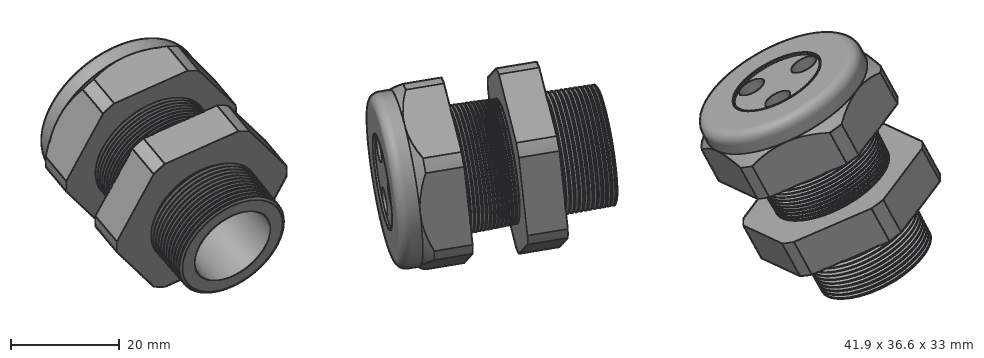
import cadquery as cq
import math

overall_length = 41.9

across_flats = 33.03
corner_radius = 18.3
flat_radius = across_flats / 2
hex_corner_diameter = across_flats / math.cos(math.pi / 6)

cap_collar_end = 4.2
cap_end = 13.2
body_hex_start = 23.45
body_hex_end = 31.05
dome_fillet = 2.05

flank_slope = 1 / math.tan(math.pi / 6)
cap_thread_grooves = 13
cap_thread_root_radius = 11.35
cap_thread_start_radius = 12.0
cap_thread_end_radius = 11.7
entry_thread_start = 31.9
entry_thread_grooves = 11
entry_thread_root_radius = 10.75
entry_thread_start_radius = 11.45
entry_thread_end_radius = 11.27

neck_radius = 10.6
run_out_length = entry_thread_start - body_hex_end

insert_radius = 9.05
dish_radius = 8.75
dish_depth = 0.4
insert_end = cap_end
bore_taper_end = body_hex_start
bore_radius = 8.15
cable_hole_count = 3
cable_hole_radius = 2.55
cable_hole_circle_radius = 6.15


def cylinder(start, end, radius):
    return cq.Workplane("YZ", origin=(start, 0, 0)).circle(radius).extrude(end - start)


def revolve_about_axis(profile):
    return profile.close().revolve(360, (0, 0, 0), (1, 0, 0))


def hexagon(start, end):
    """Hexagonal prism with flats at top and bottom and rounded-off corners."""
    prism = cq.Workplane("YZ", origin=(start, 0, 0)).polygon(6, hex_corner_diameter).extrude(end - start)
    return prism.intersect(cylinder(start, end, corner_radius))


def make_cap():
    """Round collar with a rounded front edge, widening at 45 degrees into a hexagon."""
    cone_end = cap_collar_end + corner_radius - flat_radius
    envelope = revolve_about_axis(
        cq.Workplane("XY")
        .moveTo(cap_collar_end, 0)
        .lineTo(cap_collar_end, flat_radius)
        .lineTo(cone_end, corner_radius)
        .lineTo(cap_end, corner_radius)
        .lineTo(cap_end, 0)
    )
    collar = cylinder(0, cap_collar_end, flat_radius).faces("<X").edges().fillet(dome_fillet)
    return collar.union(hexagon(cap_collar_end, cap_end).intersect(envelope))


def make_thread(start, end, grooves, root_radius, start_radius, end_radius):
    """Slightly tapered rod with equally spaced V grooves, from a crest at its start to a root at its end."""
    pitch = (end - start) / (grooves + 0.5)
    taper = (start_radius - end_radius) / (end - start)
    profile = cq.Workplane("XY").moveTo(start, 0).lineTo(start, start_radius)
    for index in range(grooves + 1):
        root = start + (index + 0.5) * pitch
        depth = start_radius - taper * (root - start) - root_radius
        front_reach = depth / (flank_slope - taper)
        rear_reach = depth / (flank_slope + taper)
        profile = profile.lineTo(root - front_reach, root_radius + flank_slope * front_reach)
        profile = profile.lineTo(root, root_radius)
        if index < grooves:
            profile = profile.lineTo(root + rear_reach, root_radius + flank_slope * rear_reach)
    return revolve_about_axis(profile.lineTo(end, 0))


def make_run_out():
    """Neck behind the body hexagon that flares along a concave arc up to the first thread crest."""
    half_arc = math.pi / 4
    return revolve_about_axis(
        cq.Workplane("XY")
        .moveTo(body_hex_end, 0)
        .lineTo(body_hex_end, neck_radius)
        .threePointArc(
            (
                body_hex_end + run_out_length * math.sin(half_arc),
                neck_radius + run_out_length * (1 - math.cos(half_arc)),
            ),
            (entry_thread_start, neck_radius + run_out_length),
        )
        .lineTo(entry_thread_start, 0)
    )


def make_passage():
    """Insert pocket, tapering into the straight bore that runs out of the rear end."""
    return revolve_about_axis(
        cq.Workplane("XY")
        .lineTo(0, insert_radius)
        .lineTo(insert_end, insert_radius)
        .lineTo(bore_taper_end, bore_radius)
        .lineTo(overall_length, bore_radius)
        .lineTo(overall_length, 0)
    )


def make_housing():
    cap_thread = make_thread(
        cap_end,
        body_hex_start,
        cap_thread_grooves,
        cap_thread_root_radius,
        cap_thread_start_radius,
        cap_thread_end_radius,
    )
    entry_thread = make_thread(
        entry_thread_start,
        overall_length,
        entry_thread_grooves,
        entry_thread_root_radius,
        entry_thread_start_radius,
        entry_thread_end_radius,
    )
    return (
        make_cap()
        .union(cap_thread)
        .union(hexagon(body_hex_start, body_hex_end))
        .union(make_run_out())
        .union(entry_thread)
        .cut(make_passage())
    )


def make_insert():
    """Plug with a shallow front dish and a ring of evenly spaced cable holes, the first at the bottom."""
    insert = cylinder(0, insert_end, insert_radius).cut(cylinder(0, dish_depth, dish_radius))
    for index in range(cable_hole_count):
        angle = 2 * math.pi * index / cable_hole_count - math.pi / 2
        hole = cylinder(0, insert_end, cable_hole_radius).translate(
            (0, cable_hole_circle_radius * math.cos(angle), cable_hole_circle_radius * math.sin(angle))
        )
        insert = insert.cut(hole)
    return insert


housing = make_housing()
insert = make_insert()
result = cq.Compound.makeCompound([housing.solids().val(), insert.solids().val()])